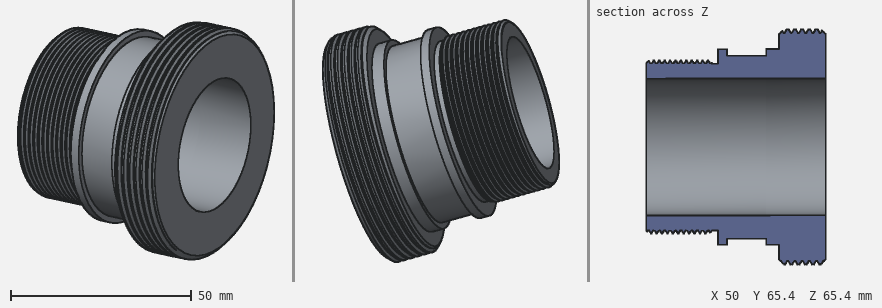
import cadquery as cq
import math

small_thread_end = 18.4
flange_start = 19.95
flange_end = 22.5
shoulder_start = 33.35
head_start = 36.9
total_length = 50.0

bore_radius = 19.0
neck_radius = 23.2
small_thread_radius = 24.1
flange_radius = 27.2
waist_radius = 25.5
head_radius = 32.7

small_chamfer = small_thread_radius - neck_radius
head_chamfer = 1.45

small_pitch = 1.5
small_depth = 0.8
small_root_width = 0.4
small_groove_start = -0.45
head_pitch = 2.0
head_depth = 1.0
head_root_width = 0.25
head_groove_start = 35.85
flank_angle = 30.0
cutter_overlap = 0.2


def revolve_about_x(outline):
    """Revolve a closed outline in the XY plane about the X axis."""
    return cq.Workplane("XY").polyline(outline).close().revolve(360, (0, 0, 0), (1, 0, 0))


def neck_body():
    """Tube from the small threaded end to the end of the waist."""
    outline = [
        (0, bore_radius),
        (0, neck_radius),
        (small_chamfer, small_thread_radius),
        (small_thread_end - small_chamfer, small_thread_radius),
        (small_thread_end, neck_radius),
        (flange_start, neck_radius),
        (flange_start, flange_radius),
        (flange_end, flange_radius),
        (flange_end, waist_radius),
        (shoulder_start, waist_radius),
        (shoulder_start, bore_radius),
    ]
    return revolve_about_x(outline).rotate((0, 0, 0), (1, 0, 0), 180)


def head_body():
    """Shoulder and large chamfered head, with its surface seams on the +Y side."""
    outline = [
        (shoulder_start, bore_radius),
        (shoulder_start, flange_radius),
        (head_start, flange_radius),
        (head_start, head_radius - head_chamfer),
        (head_start + head_chamfer, head_radius),
        (total_length - head_chamfer, head_radius),
        (total_length, head_radius - head_chamfer),
        (total_length, bore_radius),
    ]
    return revolve_about_x(outline)


def thread_groove(outer_radius, pitch, depth, root_width, start_x, turns):
    """Make a right-hand helical groove that starts at start_x."""
    root_radius = outer_radius - depth
    cutter_radius = outer_radius + cutter_overlap
    half_root = root_width / 2
    half_mouth = half_root + (depth + cutter_overlap) * math.tan(math.radians(flank_angle))
    helix = cq.Wire.makeHelix(pitch, pitch * turns, root_radius)
    profile = (
        cq.Workplane("XZ")
        .moveTo(root_radius, -half_root)
        .lineTo(cutter_radius, -half_mouth)
        .lineTo(cutter_radius, half_mouth)
        .lineTo(root_radius, half_root)
        .close()
    )
    groove = profile.sweep(cq.Workplane(helix), isFrenet=True)
    along_x = groove.rotate((0, 0, 0), (0, 1, 0), 90)
    return along_x.translate((start_x, 0, 0))


small_turns = 12.7
head_turns = 7

small_groove = thread_groove(
    small_thread_radius, small_pitch, small_depth, small_root_width, small_groove_start, small_turns
)
head_groove = thread_groove(
    head_radius, head_pitch, head_depth, head_root_width, head_groove_start, head_turns
)

threaded_neck = neck_body().cut(small_groove)
threaded_head = head_body().cut(head_groove)
result = threaded_neck.union(threaded_head)